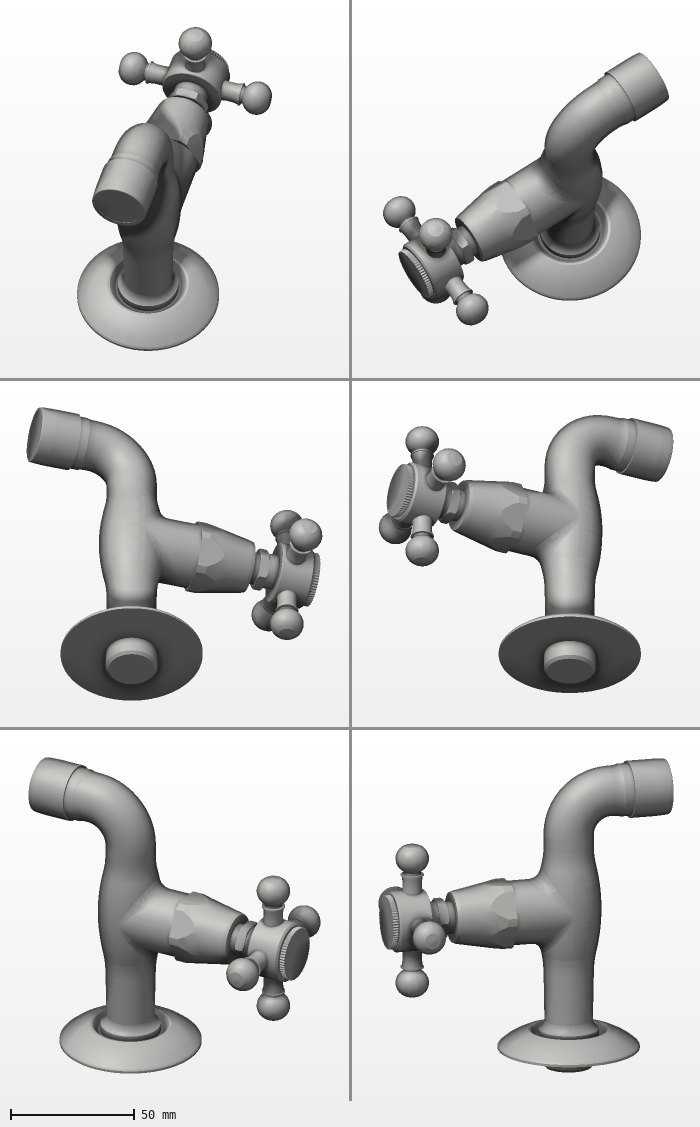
import cadquery as cq
import math

shank_radius = 10.5
shank_chamfer = 1.1

flange_bottom = 7.9
flange_top = 15.8
flange_radius = 28.9
rim_height = 1.0
rim_bevel_height = 0.6
rim_bevel_inset = 0.5
dome_mid_radius = 23.1
dome_mid_height = 13.3
recess_outer_radius = 16.6
recess_mouth_radius = 15.6
recess_floor_radius = 13.8
recess_depth = 2.9
recess_lip_drop = 0.3
recess_floor_bevel = 0.5

foot_radius = 12.3
foot_top = 16.1
flare_mid_radius = 10.7
flare_mid_height = 17.8
post_low_radius = 9.9
post_low_height = 19.9
tube_radius = 10.3
valve_height = 66.7
belly_radius = 13.3
belly_end_radius = 11.0
belly_half_length = 19.0
belly_blend_length = 7.1

spout_height = 115.1
bend_radius = 17.0
spout_neck_end = 18.1
collar_start = 21.2
collar_radius = 10.8
nozzle_start = 25.0
nozzle_radius = 11.7
nozzle_taper_start = 35.6
nozzle_tip = 41.2
nozzle_tip_radius = 11.3
nozzle_tip_fillet = 0.4
outlet_disc_radius = 9.4
outlet_disc_depth = 0.1

branch_radius = 13.2
branch_end = 25.5
branch_fillet = 5.1
bonnet_radius = 14.5
bonnet_flats = 26.5
bonnet_cone_start = 29.3
bonnet_end = 49.5
bonnet_round = 1.5
bonnet_nose_radius = 10.9
bonnet_face_radius = 10.4

stem_radius = 6.6
nut_start = 52.5
nut_end = 56.3
nut_flats = 15.0
nut_chamfer = 0.6
sleeve_radius = 7.1

hub_start = 60.5
hub_end = 74.3
hub_radius = 12.4
hub_back_chamfer = 0.8
hub_front_chamfer = 0.3
arm_axis = 65.9
handle_span = 64.0
arm_count = 4

arm_root = 10.1
arm_root_radius = 4.6
arm_waist = 15.8
arm_waist_radius = 3.9
arm_end = 19.1
arm_end_radius = 4.3
bead_radius = 4.7
bead_end = 19.8
neck_radius = 3.5
neck_end = 20.8
ball_start = 21.3
ball_start_radius = 4.0
ball_mid = 26.2
ball_radius = 6.8
ball_cap_start = 31.6
ball_cap_radius = 3.3
ball_tip = handle_span / 2

cap_neck_radius = 10.1
cap_neck_end = 74.7
cap_end = 76.8
cap_radius = 11.0
cap_tooth_depth = 0.4
cap_tooth_count = 60
cap_dome_radius = 10.1
cap_dome_rise = 0.4


def revolve_about_z(profile):
    """Revolve a closed (radius, z) profile drawn on XZ about the Z axis."""
    return profile.close().revolve(360, (0, 0, 0), (0, 1, 0))


def disc_y(radius, start, end):
    """Cylinder on the valve axis between two Y positions."""
    return (
        cq.Workplane("XZ", origin=(0, start, valve_height))
        .circle(radius)
        .extrude(start - end)
    )


def hex_y(across_flats, start, end):
    """Hexagonal prism on the valve axis with corners on +X and -X."""
    corner_diameter = across_flats / math.cos(math.pi / 6)
    return (
        cq.Workplane("XZ", origin=(0, start, valve_height))
        .polygon(6, corner_diameter)
        .extrude(start - end)
    )


def valve_profile(start):
    """Open (y, radius) profile on YZ that begins on the valve axis."""
    return cq.Workplane("YZ", origin=(0, 0, valve_height)).moveTo(start, 0)


def revolve_about_y(profile):
    """Revolve a closed (y, radius) profile about the local Y axis."""
    return profile.close().revolve(360, (0, 0, 0), (1, 0, 0))


def make_shank():
    return (
        cq.Workplane("XY")
        .circle(shank_radius)
        .extrude(foot_top)
        .faces("<Z")
        .chamfer(shank_chamfer)
    )


def make_escutcheon():
    bevel_start = flange_bottom + rim_height
    floor = flange_top - recess_depth
    return revolve_about_z(
        cq.Workplane("XZ")
        .moveTo(0, flange_bottom)
        .lineTo(flange_radius, flange_bottom)
        .lineTo(flange_radius, bevel_start)
        .lineTo(flange_radius - rim_bevel_inset, bevel_start + rim_bevel_height)
        .threePointArc((dome_mid_radius, dome_mid_height), (recess_outer_radius, flange_top))
        .lineTo(recess_mouth_radius, flange_top - recess_lip_drop)
        .lineTo(recess_floor_radius, floor + recess_floor_bevel)
        .lineTo(recess_floor_radius - recess_floor_bevel, floor)
        .lineTo(0, floor)
    )


def make_post():
    belly_bottom = valve_height - belly_half_length
    belly_top = valve_height + belly_half_length
    return revolve_about_z(
        cq.Workplane("XZ")
        .moveTo(0, flange_bottom)
        .lineTo(foot_radius, flange_bottom)
        .lineTo(foot_radius, foot_top)
        .threePointArc((flare_mid_radius, flare_mid_height), (post_low_radius, post_low_height))
        .lineTo(tube_radius, belly_bottom - belly_blend_length)
        .tangentArcPoint((belly_end_radius, belly_bottom), relative=False)
        .threePointArc((belly_radius, valve_height), (belly_end_radius, belly_top))
        .tangentArcPoint((tube_radius, belly_top + belly_blend_length), relative=False)
        .lineTo(tube_radius, spout_height - bend_radius)
        .lineTo(0, spout_height - bend_radius)
    )


def make_elbow():
    bend_start = spout_height - bend_radius
    return (
        cq.Workplane("XY", origin=(0, 0, bend_start))
        .circle(tube_radius)
        .revolve(90, (0, -bend_radius, 0), (1, -bend_radius, 0))
    )


def make_nozzle():
    nozzle = revolve_about_y(
        cq.Workplane("YZ", origin=(0, 0, spout_height))
        .moveTo(-bend_radius, 0)
        .lineTo(-bend_radius, tube_radius)
        .lineTo(-spout_neck_end, tube_radius)
        .tangentArcPoint((-collar_start, collar_radius), relative=False)
        .lineTo(-nozzle_start, collar_radius)
        .lineTo(-nozzle_start, nozzle_radius)
        .lineTo(-nozzle_taper_start, nozzle_radius)
        .tangentArcPoint((-nozzle_tip, nozzle_tip_radius), relative=False)
        .lineTo(-nozzle_tip, 0)
    )
    nozzle = nozzle.faces("<Y").edges().fillet(nozzle_tip_fillet)
    outlet = nozzle.faces("<Y").workplane(centerOption="CenterOfMass")
    return outlet.circle(outlet_disc_radius).cutBlind(-outlet_disc_depth)


def make_bonnet():
    turned = revolve_about_y(
        valve_profile(branch_end)
        .lineTo(branch_end, bonnet_radius)
        .lineTo(bonnet_cone_start, bonnet_radius)
        .lineTo(bonnet_end - bonnet_round, bonnet_nose_radius)
        .tangentArcPoint((bonnet_end, bonnet_face_radius), relative=False)
        .lineTo(bonnet_end, 0)
    )
    return turned.intersect(hex_y(bonnet_flats, branch_end, bonnet_end))


def make_packing_nut():
    corner_radius = nut_flats / 2 / math.cos(math.pi / 6)
    blank = disc_y(corner_radius, nut_start, nut_end).faces("<Y or >Y").chamfer(nut_chamfer)
    return blank.intersect(hex_y(nut_flats, nut_start, nut_end))


def make_hub():
    hub = disc_y(hub_radius, hub_start, hub_end)
    return hub.faces(">Y").chamfer(hub_back_chamfer).faces("<Y").chamfer(hub_front_chamfer)


def make_arm():
    """Handle arm pointing up from the hub."""
    arm = revolve_about_z(
        cq.Workplane("XZ")
        .moveTo(0, arm_root)
        .lineTo(arm_root_radius, arm_root)
        .threePointArc((arm_waist_radius, arm_waist), (arm_end_radius, arm_end))
        .lineTo(bead_radius, arm_end)
        .lineTo(bead_radius, bead_end)
        .lineTo(neck_radius, bead_end)
        .lineTo(neck_radius, neck_end)
        .lineTo(ball_start_radius, ball_start)
        .threePointArc((ball_radius, ball_mid), (ball_cap_radius, ball_cap_start))
        .lineTo(0, ball_tip)
    )
    return arm.translate((0, arm_axis, valve_height))


def make_cap():
    points = []
    for i in range(2 * cap_tooth_count):
        angle = math.pi * i / cap_tooth_count
        radius = cap_radius - cap_tooth_depth * (i % 2)
        points.append((radius * math.cos(angle), radius * math.sin(angle)))
    knurl = (
        cq.Workplane("XZ", origin=(0, cap_neck_end, valve_height))
        .polyline(points)
        .close()
        .extrude(cap_neck_end - cap_end)
    )
    dome = revolve_about_y(
        valve_profile(cap_neck_end)
        .lineTo(cap_neck_end, cap_dome_radius)
        .lineTo(cap_end, cap_dome_radius)
        .lineTo(cap_end + cap_dome_rise, 0)
    )
    neck = disc_y(cap_neck_radius, hub_end, cap_neck_end)
    return neck.union(knurl).union(dome)


post = make_post()
branch = disc_y(branch_radius, 0, branch_end)
body = post.union(branch)
junction = cq.selectors.BoxSelector(
    (-belly_radius, 0, valve_height - belly_half_length),
    (belly_radius, branch_radius, valve_height + belly_half_length),
)
body = body.edges(junction).fillet(branch_fillet)

result = body.union(make_elbow()).union(make_nozzle())
result = result.union(make_shank()).union(make_escutcheon())

result = result.union(make_bonnet())
result = result.union(disc_y(stem_radius, bonnet_end, nut_start)).union(make_packing_nut())
result = result.union(disc_y(sleeve_radius, nut_end, hub_start))
handle = make_hub().union(make_cap())
for i in range(arm_count):
    turn = 360 * i / arm_count
    handle = handle.union(make_arm().rotate((0, 0, valve_height), (0, 1, valve_height), turn))
result = result.union(handle)